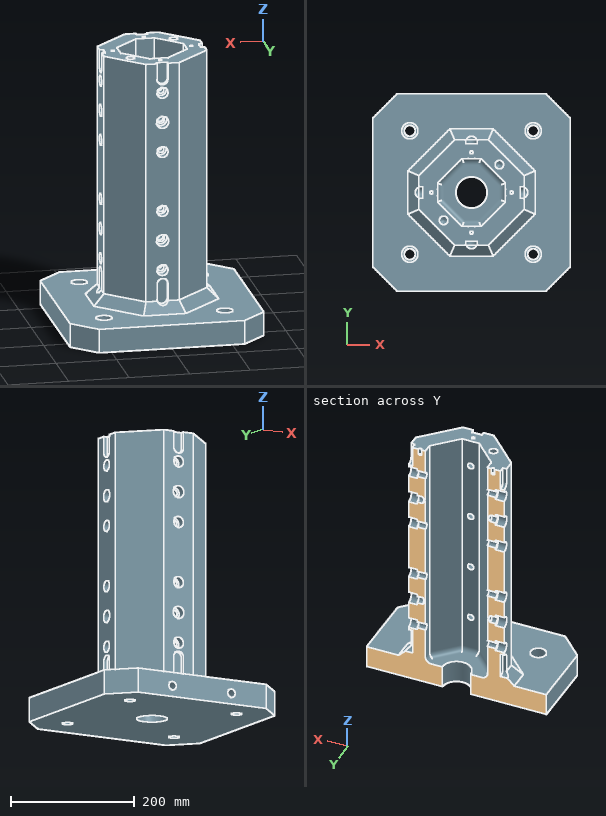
import cadquery as cq
import math

base_width = 320.0
base_thickness = 40.0
base_corner_cut = 40.0
total_height = 460.0

column_width = 170.0
column_diagonal_width = 159.0
flare_size = 18.0

cavity_width = 110.0
cavity_diagonal_width = 99.5
cavity_floor_z = base_thickness
cavity_floor_radius = 10.0
center_bore_diameter = 50.0

slot_width = 18.0
slot_depth = 6.5
upper_slot_bottom_z = 424.0
lower_slot_bottom_z = 52.0
lower_slot_top_z = 95.5

hole_group_heights = (160.0, 360.0)
hole_pitch = 50.0
through_hole_diameter = 10.5
through_counterbore_diameter = 18.0
through_hole_overrun = 2.5
blind_hole_diameter = 12.0
blind_counterbore_diameter = 20.0
counterbore_depth = 15.0
blind_hole_depth = 25.0

top_hole_offset = 45.0
top_hole_diameter = 14.0
top_hole_depth = 25.0
pin_hole_offset = 65.0
pin_hole_diameter = 5.0
pin_hole_depth = 10.0

mount_hole_offset = 100.0
mount_hole_diameter = 17.5
mount_counterbore_diameter = 26.0
mount_counterbore_depth = 20.0
side_hole_offset = 55.0
side_hole_z = 18.0
side_hole_diameter = 14.0
side_hole_depth = 25.0

drill_point_angle = 118.0
face_angles = (0, 90, 180, 270)

Z_AXIS = cq.Vector(0, 0, 1)
DOWN = cq.Vector(0, 0, -1)
INTO_FRONT = cq.Vector(0, 1, 0)


def octagon_points(width, diagonal_width):
    """Corners of an octagon whose diagonal flats have their own spacing."""
    reach = width / 2
    half_flat = diagonal_width / math.sqrt(2) - reach
    return [
        (reach, -half_flat),
        (reach, half_flat),
        (half_flat, reach),
        (-half_flat, reach),
        (-reach, half_flat),
        (-reach, -half_flat),
        (-half_flat, -reach),
        (half_flat, -reach),
    ]


def octagon_prism(width, diagonal_width, bottom_z, top_z):
    profile = cq.Workplane("XY").workplane(offset=bottom_z)
    return profile.polyline(octagon_points(width, diagonal_width)).close().extrude(top_z - bottom_z)


def cylinder(diameter, depth, position, direction):
    return cq.Solid.makeCylinder(diameter / 2, depth, cq.Vector(*position), direction)


def drilled_hole(diameter, depth, position, direction):
    """Blind hole of the given full-diameter depth, ending in a drill point."""
    radius = diameter / 2
    point_length = radius / math.tan(math.radians(drill_point_angle / 2))
    point_start = cq.Vector(*position) + direction * depth
    point = cq.Solid.makeCone(radius, 0, point_length, point_start, direction)
    return cylinder(diameter, depth, position, direction).fuse(point)


def make_base():
    plate = cq.Workplane("XY").box(base_width, base_width, base_thickness, centered=(True, True, False))
    return plate.edges("|Z").chamfer(base_corner_cut)


def make_flare():
    """Sloped collar that widens the column evenly at 45 degrees down to the base plate."""
    wide = octagon_points(column_width + 2 * flare_size, column_diagonal_width + 2 * flare_size)
    narrow = octagon_points(column_width, column_diagonal_width)
    profile = cq.Workplane("XY").workplane(offset=base_thickness).polyline(wide).close()
    return profile.workplane(offset=flare_size).polyline(narrow).close().loft(ruled=True)


def make_cavity():
    cavity = octagon_prism(cavity_width, cavity_diagonal_width, cavity_floor_z, total_height)
    return cavity.faces("<Z").edges().fillet(cavity_floor_radius)


def make_slot(bottom_z, top_z):
    """Round-ended slot in the -Y column face, cut outward past the flare."""
    floor_y = slot_depth - column_width / 2
    slot_length = top_z - bottom_z
    profile = cq.Workplane("XZ", origin=(0, floor_y, (bottom_z + top_z) / 2))
    return profile.slot2D(slot_length, slot_width, 90).extrude(slot_depth + flare_size).val()


def make_face_cutters():
    """Slots, face holes and top pin hole on the -Y side; through holes reach the cavity."""
    face_y = -column_width / 2
    through_length = (column_width - cavity_width) / 2 + through_hole_overrun
    cutters = [
        make_slot(upper_slot_bottom_z, total_height + slot_width),
        make_slot(lower_slot_bottom_z, lower_slot_top_z),
    ]
    for group_z in hole_group_heights:
        middle = (0, face_y, group_z)
        cutters.append(cylinder(blind_counterbore_diameter, counterbore_depth, middle, INTO_FRONT))
        cutters.append(drilled_hole(blind_hole_diameter, blind_hole_depth, middle, INTO_FRONT))
        for z in (group_z - hole_pitch, group_z + hole_pitch):
            position = (0, face_y, z)
            cutters.append(cylinder(through_counterbore_diameter, counterbore_depth, position, INTO_FRONT))
            cutters.append(cylinder(through_hole_diameter, through_length, position, INTO_FRONT))
    pin_position = (0, -pin_hole_offset, total_height)
    cutters.append(drilled_hole(pin_hole_diameter, pin_hole_depth, pin_position, DOWN))
    return cutters


def make_top_hole_cutters():
    """Two drilled holes on one diagonal of the column top."""
    cutters = []
    for offset in (-top_hole_offset, top_hole_offset):
        cutters.append(drilled_hole(top_hole_diameter, top_hole_depth, (offset, offset, total_height), DOWN))
    return cutters


def make_base_cutters():
    """Central bore, counterbored mounting holes and the drilled holes in the -Y edge."""
    cutters = [cylinder(center_bore_diameter, cavity_floor_z, (0, 0, 0), Z_AXIS)]
    for x_side in (-1, 1):
        for y_side in (-1, 1):
            position = (x_side * mount_hole_offset, y_side * mount_hole_offset, base_thickness)
            cutters.append(cylinder(mount_hole_diameter, base_thickness, position, DOWN))
            cutters.append(cylinder(mount_counterbore_diameter, mount_counterbore_depth, position, DOWN))
        side_position = (x_side * side_hole_offset, -base_width / 2, side_hole_z)
        cutters.append(drilled_hole(side_hole_diameter, side_hole_depth, side_position, INTO_FRONT))
    return cutters


column = octagon_prism(column_width, column_diagonal_width, base_thickness, total_height)
body = make_base().union(column).union(make_flare()).cut(make_cavity())

for cutter in make_top_hole_cutters() + make_base_cutters():
    body = body.cut(cq.Workplane(cutter))

for cutter in make_face_cutters():
    for angle in face_angles:
        body = body.cut(cq.Workplane(cutter.rotate(cq.Vector(), Z_AXIS, angle)))

result = body